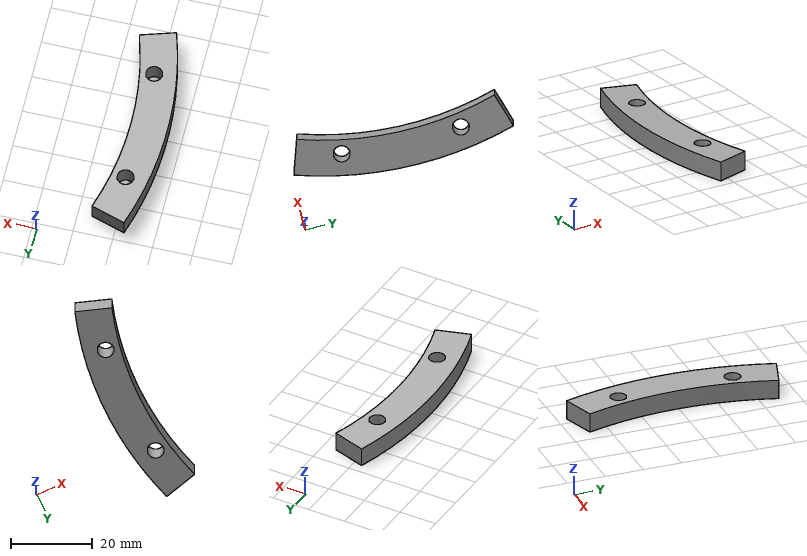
import cadquery as cq
import math

length = 55.2
outer_radius = 92.0
radial_width = 9.15
thickness = 5.0
hole_diameter = 4.1
hole_circle_radius = 86.4
hole_angle = 10.0

inner_radius = outer_radius - radial_width
end_angle = math.degrees(math.asin(length / 2 / outer_radius))


def polar_point(radius, angle):
    """Point about the arc centre; the angle is in degrees from the -X direction."""
    turn = math.radians(angle)
    return (-radius * math.cos(turn), radius * math.sin(turn))


segment = (
    cq.Workplane("XY")
    .moveTo(*polar_point(outer_radius, -end_angle))
    .threePointArc(polar_point(outer_radius, 0), polar_point(outer_radius, end_angle))
    .lineTo(*polar_point(inner_radius, end_angle))
    .threePointArc(polar_point(inner_radius, 0), polar_point(inner_radius, -end_angle))
    .close()
    .extrude(thickness)
)

hole_centers = [polar_point(hole_circle_radius, angle) for angle in (-hole_angle, hole_angle)]
holes = (
    cq.Workplane("XY")
    .pushPoints(hole_centers)
    .circle(hole_diameter / 2)
    .extrude(thickness)
)

result = segment.cut(holes)